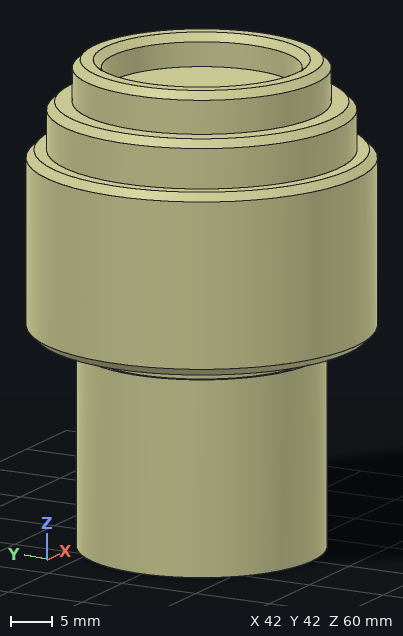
import cadquery as cq

total_height = 60.0
chamfer = 0.95

spigot_diameter = 30.0
groove_diameter = 29.15
body_diameter = 42.0
shoulder_diameter = 37.1
rim_diameter = 30.95

groove_bottom = 24.4
groove_top = 25.8
body_bottom = 26.35
body_top = 48.9
shoulder_top = 54.85

recess_diameter = 24.0
recess_depth = 4.0


def cylinder(diameter, bottom, top):
    """Upright cylinder on the Z axis between two heights."""
    return cq.Workplane("XY").workplane(offset=bottom).circle(diameter / 2).extrude(top - bottom)


spigot = cylinder(spigot_diameter, 0, body_bottom)
groove = cylinder(spigot_diameter, groove_bottom, groove_top).cut(
    cylinder(groove_diameter, groove_bottom, groove_top)
)
spigot = spigot.cut(groove)

body = cylinder(body_diameter, body_bottom, body_top).edges().chamfer(chamfer)
shoulder = cylinder(shoulder_diameter, body_top, shoulder_top).edges(">Z").chamfer(chamfer)
rim = cylinder(rim_diameter, shoulder_top, total_height).edges(">Z").chamfer(chamfer)

recess = cylinder(recess_diameter, total_height - recess_depth, total_height)

result = spigot.union(body).union(shoulder).union(rim).cut(recess)
result = result.edges(cq.selectors.RadiusNthSelector(0)).edges(">Z").chamfer(chamfer)